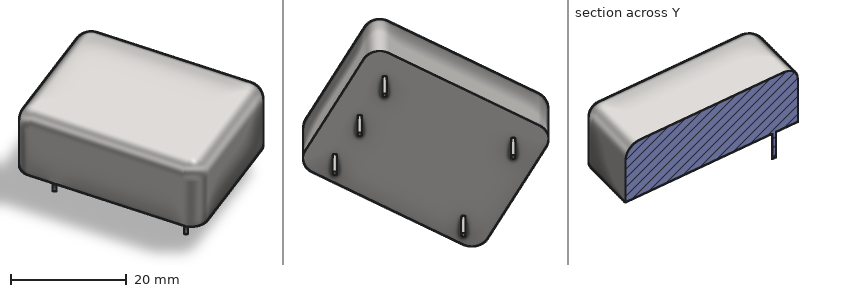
import cadquery as cq

BODY_LENGTH = 36.09
BODY_WIDTH = 27.2
BODY_HEIGHT = 13.45
EDGE_RADIUS = 3.175

PIN_DIAMETER = 0.76
PIN_LENGTH = 6.0
PIN_SPAN_X = 25.4
PIN_SPAN_Y = 17.78
PIN_PATTERN_OFFSET_X = 0.365
PIN_PATTERN_OFFSET_Y = 0.05
PIN_EMBED = 1.0

left_x = PIN_PATTERN_OFFSET_X - PIN_SPAN_X / 2
right_x = PIN_PATTERN_OFFSET_X + PIN_SPAN_X / 2
front_y = PIN_PATTERN_OFFSET_Y - PIN_SPAN_Y / 2
back_y = PIN_PATTERN_OFFSET_Y + PIN_SPAN_Y / 2
pin_positions = [
    (left_x, front_y),
    (left_x, back_y),
    (right_x, front_y),
    (right_x, PIN_PATTERN_OFFSET_Y),
    (right_x, back_y),
]


def make_body():
    """Block standing on Z = 0, with equal rounding on every edge but the bottom ones."""
    block = cq.Workplane("XY").box(BODY_LENGTH, BODY_WIDTH, BODY_HEIGHT, centered=(True, True, False))
    return block.edges("|Z or >Z").fillet(EDGE_RADIUS)


def make_pins():
    """Round pins hanging below the body."""
    return (
        cq.Workplane("XY", origin=(0, 0, -PIN_LENGTH))
        .pushPoints(pin_positions)
        .circle(PIN_DIAMETER / 2)
        .extrude(PIN_LENGTH + PIN_EMBED)
    )


result = make_body().union(make_pins())